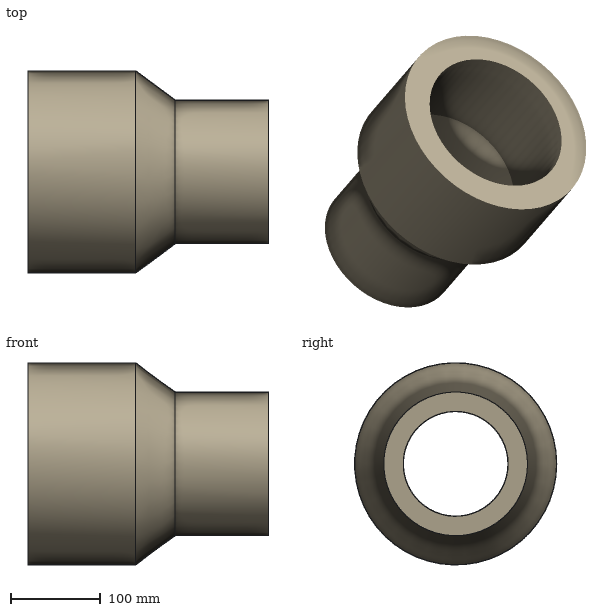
import cadquery as cq

total_length = 268.0
large_length = 120.0
small_length = 104.0

large_diameter = 225.0
small_diameter = 160.0
large_bore = 163.7
small_bore = 116.3

taper_start = large_length
taper_end = total_length - small_length


def stepped_cone(start_diameter, end_diameter):
    """Solid of revolution: cylinder, taper, then smaller cylinder along X."""
    start_radius = start_diameter / 2
    end_radius = end_diameter / 2
    half_profile = (
        cq.Workplane("XY")
        .moveTo(0, 0)
        .lineTo(0, start_radius)
        .lineTo(taper_start, start_radius)
        .lineTo(taper_end, end_radius)
        .lineTo(total_length, end_radius)
        .lineTo(total_length, 0)
        .close()
    )
    return half_profile.revolve(360, (0, 0, 0), (1, 0, 0))


body = stepped_cone(large_diameter, small_diameter)
bore = stepped_cone(large_bore, small_bore)
result = body.cut(bore)